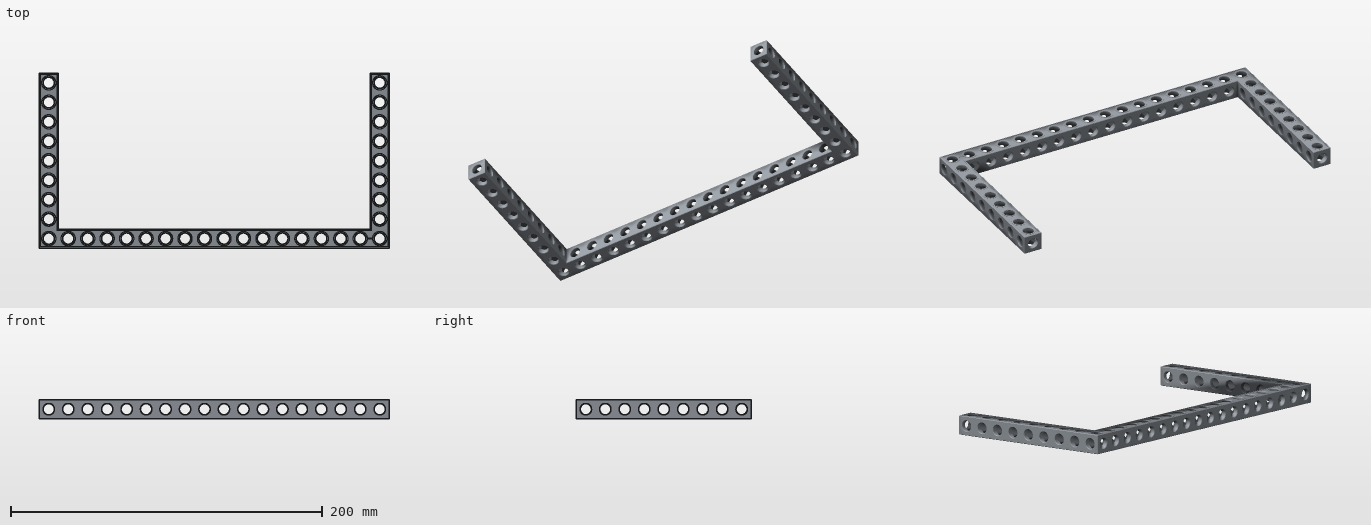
import cadquery as cq

length = 225.0
holes_along_base = 18
holes_along_arm = 9
hole_diameter = 7.0
edge_chamfer = 0.3

recess_depth = 0.2
rim_width = 1.04
boss_diameter = 9.2
rib_width = 0.7

pitch = length / holes_along_base
depth = holes_along_arm * pitch
height = pitch
mid_height = height / 2

columns = [(i + 0.5) * pitch for i in range(holes_along_base)]
rows = [(i + 0.5) * pitch for i in range(holes_along_arm)]
arm_columns = (columns[0], columns[-1])
base_centers = [(x, rows[0]) for x in columns]
arm_centers = [(x, y) for x in arm_columns for y in rows[1:]]
grid_centers = base_centers + arm_centers


def make_u_block(inset, thickness):
    """U-shaped block, open toward +Y, with every side moved inward by the inset."""
    left, right = inset, length - inset
    front, back = inset, depth - inset
    beam_width = pitch - 2 * inset
    outline = [
        (left, front),
        (right, front),
        (right, back),
        (right - beam_width, back),
        (right - beam_width, front + beam_width),
        (left + beam_width, front + beam_width),
        (left + beam_width, back),
        (left, back),
    ]
    return cq.Workplane("XY").polyline(outline).close().extrude(thickness)


def make_body():
    """Undrilled frame, all edges chamfered except the two upright ones in the inner corners."""
    upright_edges = cq.selectors.StringSyntaxSelector("|Z")
    around_inner_corners = cq.selectors.BoxSelector(
        (columns[0], rows[0], 0),
        (columns[-1], rows[1], height),
    )
    sharp_edges = upright_edges & around_inner_corners
    body = make_u_block(0, height)
    return body.edges(cq.selectors.InverseSelector(sharp_edges)).chamfer(edge_chamfer)


def make_recess():
    """Area sunk into the top face: inside the rim, around the bosses, split once by the rib."""
    bosses = cq.Workplane("XY").pushPoints(grid_centers).circle(boss_diameter / 2).extrude(recess_depth)
    rib_center_x = length - pitch
    rib = cq.Workplane("XY").center(rib_center_x, rows[0]).rect(pitch, rib_width).extrude(recess_depth)
    recess = make_u_block(rim_width, recess_depth).cut(bosses).cut(rib)
    return recess.translate((0, 0, height - recess_depth))


def make_hole_cutter(span):
    """Hole along +Z from the origin, with a chamfered mouth at both ends."""
    hole_radius = hole_diameter / 2
    mouth_radius = hole_radius + edge_chamfer
    profile = [
        (0, 0),
        (mouth_radius, 0),
        (hole_radius, edge_chamfer),
        (hole_radius, span - edge_chamfer),
        (mouth_radius, span),
        (0, span),
    ]
    return cq.Workplane("XZ").polyline(profile).close().revolve(360, (0, 0), (0, 1)).val()


def place_hole(cutter, start, direction):
    """Hole cutter moved so that it starts at a point and runs along a direction."""
    return cutter.moved(cq.Location(cq.Plane(origin=start, normal=direction)))


beam_hole = make_hole_cutter(pitch)
arm_length_hole = make_hole_cutter(depth)
base_length_hole = make_hole_cutter(length)
along_x, along_y, along_z = (1, 0, 0), (0, 1, 0), (0, 0, 1)

holes = [place_hole(beam_hole, (x, y, 0), along_z) for x, y in grid_centers]

holes += [place_hole(beam_hole, (x, 0, mid_height), along_y) for x in columns[1:-1]]
holes += [place_hole(arm_length_hole, (x, 0, mid_height), along_y) for x in arm_columns]

arm_sides = (0, length - pitch)
holes += [place_hole(beam_hole, (x, y, mid_height), along_x) for x in arm_sides for y in rows[1:]]
holes.append(place_hole(base_length_hole, (0, rows[0], mid_height), along_x))

body = make_body().cut(make_recess()).val()
result = cq.Workplane("XY").newObject([body.cut(*holes)]).solids()